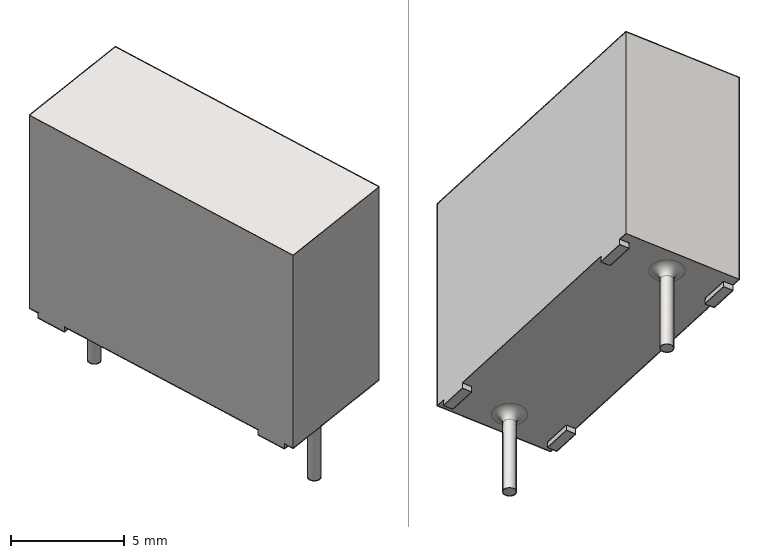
import cadquery as cq
import math

body_length = 15.0
body_thickness = 6.0
total_height = 15.5
lead_length = 4.3
body_height = total_height - lead_length

foot_length = 1.5
foot_thickness = 0.5
foot_height = 0.3
foot_end_gap = 0.5

lead_diameter = 0.6
lead_radius = lead_diameter / 2
lead_x = body_length / 2 - foot_end_gap - foot_length / 2

fillet_radius = 0.5


def make_body():
    return cq.Workplane("XY").box(
        body_length, body_thickness, body_height, centered=(True, True, False)
    )


def make_foot(x_side, y_side):
    foot_y = body_thickness / 2 - foot_thickness / 2
    return (
        cq.Workplane("XY")
        .center(x_side * lead_x, y_side * foot_y)
        .rect(foot_length, foot_thickness)
        .extrude(-foot_height)
    )


def make_lead(x_side):
    arc_offset = fillet_radius * (1 - math.sqrt(0.5))
    return (
        cq.Workplane("XZ")
        .center(x_side * lead_x, 0)
        .lineTo(lead_radius + fillet_radius, 0)
        .threePointArc((lead_radius + arc_offset, -arc_offset), (lead_radius, -fillet_radius))
        .lineTo(lead_radius, -lead_length)
        .lineTo(0, -lead_length)
        .close()
        .revolve(360, (0, 0, 0), (0, 1, 0))
    )


result = make_body()
for x_side in (-1, 1):
    result = result.union(make_lead(x_side))
    for y_side in (-1, 1):
        result = result.union(make_foot(x_side, y_side))